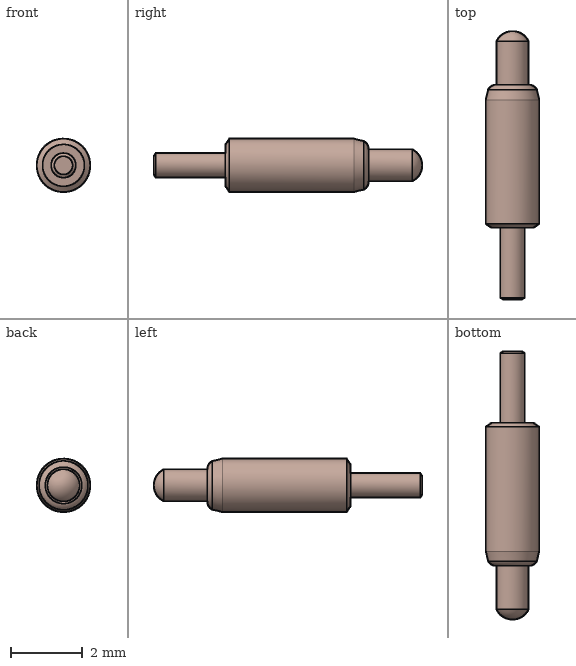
import cadquery as cq

total_length = 7.5
tail_length = 2.0
plunger_length = 1.5

body_radius = 0.75
plunger_radius = 0.45
tail_radius = 0.345

tail_bevel_length = 0.06
tail_bevel_depth = 0.09
body_bevel_length = 0.11
body_bevel_depth = 0.165

crimp_length = 0.41
lip_length = 0.135
lip_radius = 0.68
lip_face_radius = 0.51
lip_bulge = 0.015

dome_height = 0.285

tail_end = -total_length / 2
body_rear = tail_end + tail_length
tip = total_length / 2
body_front = tip - plunger_length
crimp_start = body_front - crimp_length
lip_start = body_front - lip_length
dome_start = tip - dome_height

lip_mid_radius = (lip_radius + lip_face_radius) / 2 + lip_bulge
lip_mid_station = (lip_start + body_front) / 2 + lip_bulge
dome_radius = (plunger_radius**2 + dome_height**2) / (2 * dome_height)
dome_mid_radius = plunger_radius / 2
dome_mid_station = tip - dome_radius + (dome_radius**2 - dome_mid_radius**2) ** 0.5

profile = (
    cq.Workplane("XY")
    .moveTo(0, tail_end)
    .lineTo(tail_radius - tail_bevel_depth, tail_end)
    .lineTo(tail_radius, tail_end + tail_bevel_length)
    .lineTo(tail_radius, body_rear)
    .lineTo(body_radius - body_bevel_depth, body_rear)
    .lineTo(body_radius, body_rear + body_bevel_length)
    .lineTo(body_radius, crimp_start)
    .lineTo(lip_radius, lip_start)
    .threePointArc((lip_mid_radius, lip_mid_station), (lip_face_radius, body_front))
    .lineTo(plunger_radius, body_front)
    .lineTo(plunger_radius, dome_start)
    .threePointArc((dome_mid_radius, dome_mid_station), (0, tip))
    .close()
)

result = profile.revolve(360, (0, 0, 0), (0, 1, 0))